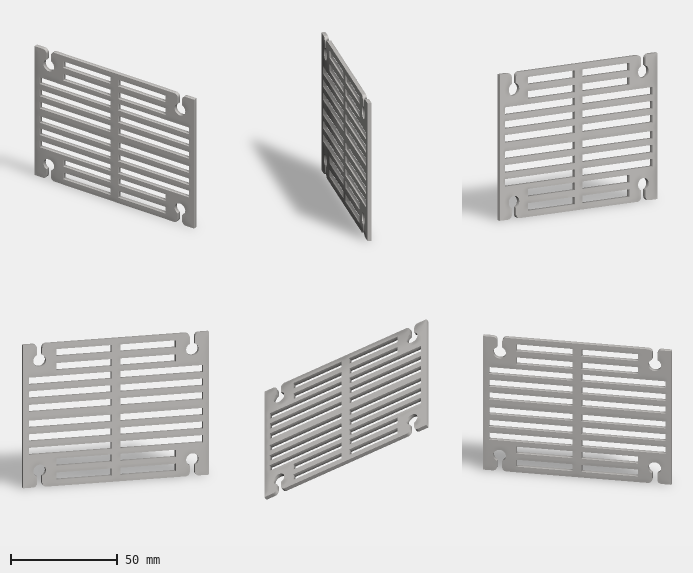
import cadquery as cq

plate_width = 90.0
plate_height = 70.0
plate_thickness = 2.0

slot_height = 3.6
centre_rib_width = 4.2
long_slot_length = 40.0
short_slot_length = 26.8
long_slot_pitch = 6.7
short_slot_pitch = 6.8
long_slot_count = 3
short_slot_count = 2
first_long_slot_z = 3.9
first_short_slot_z = 23.4

keyhole_x = 37.0
keyhole_z = 27.0
keyhole_diameter = 6.0
neck_width = 2.5
mouth_radius = 2.0

long_rows = [first_long_slot_z + i * long_slot_pitch for i in range(long_slot_count)]
short_rows = [first_short_slot_z + i * short_slot_pitch for i in range(short_slot_count)]


def slot_cutter(rows, length):
    """Square-ended slots on both sides of the centre rib, above and below the centre plane."""
    slot_x = (centre_rib_width + length) / 2
    centres = [(sx * slot_x, sz * z) for z in rows for sx in (-1, 1) for sz in (-1, 1)]
    return (
        cq.Workplane("XZ")
        .pushPoints(centres)
        .rect(length, slot_height)
        .extrude(plate_thickness / 2, both=True)
    )


def keyhole_cutter():
    """Upper right keyhole: round eye and a neck that flares out to the top edge."""
    half_neck = neck_width / 2
    top = plate_height / 2
    eye = (
        cq.Workplane("XZ")
        .center(keyhole_x, keyhole_z)
        .circle(keyhole_diameter / 2)
        .extrude(plate_thickness / 2, both=True)
    )
    neck = (
        cq.Workplane("XZ")
        .moveTo(keyhole_x - half_neck, keyhole_z)
        .lineTo(keyhole_x + half_neck, keyhole_z)
        .lineTo(keyhole_x + half_neck, top - mouth_radius)
        .radiusArc((keyhole_x + half_neck + mouth_radius, top), mouth_radius)
        .lineTo(keyhole_x - half_neck - mouth_radius, top)
        .radiusArc((keyhole_x - half_neck, top - mouth_radius), mouth_radius)
        .close()
        .extrude(plate_thickness / 2, both=True)
    )
    return eye.union(neck)


result = cq.Workplane("XY").box(plate_width, plate_thickness, plate_height)
result = result.cut(slot_cutter(long_rows, long_slot_length))
result = result.cut(slot_cutter(short_rows, short_slot_length))

upper_right = keyhole_cutter()
upper_pair = upper_right.union(upper_right.mirror("YZ"))
result = result.cut(upper_pair).cut(upper_pair.mirror("XY"))